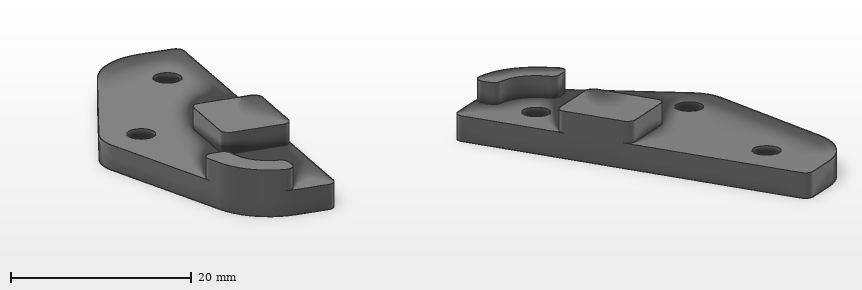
import cadquery as cq
import math

length = 44.15
width = 18.85
plate_thickness = 3.0
total_height = 5.55
corner_radius = 1.0

hole_diameter = 3.2
side_hole_x = 14.3
side_hole_y = -4.9
front_hole_y = -14.2
side_radius = length / 2 - side_hole_x
front_radius = width + front_hole_y

block_length = 9.4
block_width = 8.25

rib_inner_radius = 4.9

hole_spacing = math.hypot(side_hole_x, side_hole_y - front_hole_y)
centre_line_angle = math.atan2(side_hole_y - front_hole_y, side_hole_x)
flank_angle = centre_line_angle - math.asin((side_radius - front_radius) / hole_spacing)


def arc_point(centre_x, centre_y, radius, angle):
    """Point on an arc, with the angle measured from -Y towards +X."""
    return (centre_x + radius * math.sin(angle), centre_y - radius * math.cos(angle))


def mirrored(point):
    return (-point[0], point[1])


def make_plate(height):
    """Rounded triangular plate, extruded from the underside."""
    side_end = (length / 2, side_hole_y)
    side_middle_angle = (flank_angle + math.pi / 2) / 2
    side_middle = arc_point(side_hole_x, side_hole_y, side_radius, side_middle_angle)
    side_tangent = arc_point(side_hole_x, side_hole_y, side_radius, flank_angle)
    front_tangent = arc_point(0, front_hole_y, front_radius, flank_angle)
    plate = (
        cq.Workplane("XY")
        .moveTo(-length / 2, 0)
        .lineTo(length / 2, 0)
        .lineTo(*side_end)
        .threePointArc(side_middle, side_tangent)
        .lineTo(*front_tangent)
        .threePointArc((0, -width), mirrored(front_tangent))
        .lineTo(*mirrored(side_tangent))
        .threePointArc(mirrored(side_middle), mirrored(side_end))
        .close()
        .extrude(height)
    )
    return plate.edges("|Z and >Y").fillet(corner_radius)


def make_block():
    """Rounded block with its left side on the plate centre line."""
    return (
        cq.Workplane("XY")
        .box(block_length, block_width, total_height, centered=False)
        .translate((0, -block_width, 0))
        .edges("|Z")
        .fillet(corner_radius)
    )


def make_rib():
    """Band between the inner arc and the plate outline, in the quarter outside the hole centre."""
    quarter = (
        cq.Workplane("XY")
        .box(length, width, total_height, centered=False)
        .translate((side_hole_x, side_hole_y - width, 0))
    )
    inner_cylinder = (
        cq.Workplane("XY")
        .center(side_hole_x, side_hole_y)
        .circle(rib_inner_radius)
        .extrude(total_height)
    )
    band = make_plate(total_height).intersect(quarter).cut(inner_cylinder)
    end_edges = band.edges("|Z and >Y").add(band.edges("|Z and <X"))
    return end_edges.fillet(corner_radius)


def make_holes():
    centres = [(-side_hole_x, side_hole_y), (side_hole_x, side_hole_y), (0, front_hole_y)]
    return (
        cq.Workplane("XY")
        .pushPoints(centres)
        .circle(hole_diameter / 2)
        .extrude(total_height)
    )


result = make_plate(plate_thickness).union(make_block()).union(make_rib()).cut(make_holes())